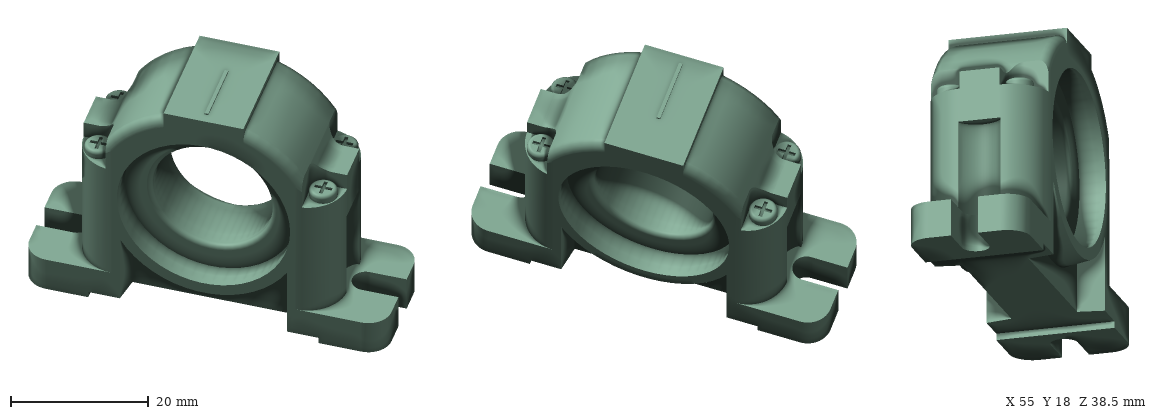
import cadquery as cq
import math

WIDTH = 18.0
OVERLAP = 0.5

FLANGE_LENGTH = 55.0
FLANGE_TOP = 5.6
FLANGE_CORNER_RADIUS = 3.5
RELIEF_LENGTH = 35.0
RELIEF_DEPTH = 1.0
SLOT_X = 21.9
SLOT_WIDTH = 4.1
GROOVE_RADIUS = 4.0
GROOVE_WIDTH = 6.45

AXIS_Z = 20.25
RING_RADIUS = 18.0
RING_FILLET = 1.5
BORE_RADIUS = 9.1
BORE_FILLET = 0.75
SEAT_RADIUS = 13.15
SEAT_DEPTH = 4.0
CAP_WIDTH = 12.1
CAP_TOP = AXIS_Z + RING_RADIUS
RIB_WIDTH = 0.55
RIB_LENGTH = 10.0
RIB_CENTER_Y = -2.5
RIB_HEIGHT = 0.25

SHOULDER_LENGTH = 40.0
SHOULDER_TOP = 28.0
SHOULDER_CORNER_RADIUS = 6.0
SHOULDER_FILLET = 2.5

SCREW_X = 17.05
SCREW_Y = 5.2
SCREW_SEAT_Z = 25.35
SCREW_POCKET_RADIUS = 2.15
HEAD_RADIUS = 2.1
HEAD_HEIGHT = 1.3
HEAD_FILLET = 0.55
CROSS_LENGTH = 2.65
CROSS_WIDTH = 0.55
CROSS_DEPTH = 0.5

POCKET_DEPTH = 4.0
POCKET_TAPER = 0.7
POCKET_HALF_WIDTH = 12.7
POCKET_ARC_RADIUS = 14.95

HALF_WIDTH = WIDTH / 2
SIDES = (-1, 1)


def box(length, width, z_low, z_high, x=0.0, y=0.0):
    """Upright box centred on (x, y) between two heights."""
    block = cq.Workplane("XY").box(length, width, z_high - z_low, centered=(True, True, False))
    return block.translate((x, y, z_low))


def disc(radius, width):
    """Disc on the bore axis, centred on the middle plane."""
    return cq.Workplane("XZ", origin=(0, width / 2, AXIS_Z)).circle(radius).extrude(width)


def post(radius, x, y, z_low, z_high):
    """Upright cylinder between two heights."""
    return cq.Workplane("XY", origin=(x, y, z_low)).circle(radius).extrude(z_high - z_low)


def flange():
    plate = box(FLANGE_LENGTH, WIDTH, 0, FLANGE_TOP).edges("|Z").fillet(FLANGE_CORNER_RADIUS)
    plate = plate.cut(box(RELIEF_LENGTH, WIDTH + OVERLAP, 0, RELIEF_DEPTH))
    run_out = FLANGE_LENGTH / 2 - SLOT_X + OVERLAP
    for side in SIDES:
        plate = plate.cut(post(SLOT_WIDTH / 2, side * SLOT_X, 0, 0, FLANGE_TOP))
        slot_x = side * (SLOT_X + run_out / 2)
        plate = plate.cut(box(run_out, SLOT_WIDTH, 0, FLANGE_TOP, slot_x))
    return plate


def shoulder_blend(side):
    """Web with a concave arc tangent to the shoulder top and to the ring."""
    center_z = SHOULDER_TOP + SHOULDER_FILLET
    center_radius = RING_RADIUS + SHOULDER_FILLET
    center_x = math.sqrt(center_radius**2 - (center_z - AXIS_Z) ** 2)
    ring_share = RING_RADIUS / center_radius
    ring_point = (side * center_x * ring_share, AXIS_Z + (center_z - AXIS_Z) * ring_share)
    ring_angle = math.pi + math.atan2(center_z - AXIS_Z, center_x)
    bottom_angle = 1.5 * math.pi
    mid_angle = (ring_angle + bottom_angle) / 2
    mid_x = center_x + SHOULDER_FILLET * math.cos(mid_angle)
    mid_z = center_z + SHOULDER_FILLET * math.sin(mid_angle)
    inner_x = side * CAP_WIDTH / 2
    inner_z = SHOULDER_TOP - OVERLAP
    blend = (
        cq.Workplane("XZ")
        .moveTo(inner_x, inner_z)
        .lineTo(side * center_x, inner_z)
        .lineTo(side * center_x, SHOULDER_TOP)
        .threePointArc((side * mid_x, mid_z), ring_point)
        .close()
    )
    return blend.extrude(SCREW_Y, both=True)


def bolt_groove(side):
    """Groove rounded about the slot end, with flat parallel sides."""
    slot_x = side * SLOT_X
    sides = box(2 * GROOVE_RADIUS, GROOVE_WIDTH, FLANGE_TOP, AXIS_Z, slot_x)
    return sides.intersect(post(GROOVE_RADIUS, slot_x, 0, FLANGE_TOP, AXIS_Z))


def housing():
    """Shoulders and ring above the flange, before holes and pockets."""
    plan = box(SHOULDER_LENGTH, WIDTH, FLANGE_TOP, CAP_TOP).edges("|Z").fillet(SHOULDER_CORNER_RADIUS)
    body = box(SHOULDER_LENGTH, WIDTH, FLANGE_TOP, SHOULDER_TOP)
    body = body.union(disc(RING_RADIUS, WIDTH).edges().fillet(RING_FILLET))
    for side in SIDES:
        body = body.union(shoulder_blend(side))
    body = body.intersect(plan)
    for side in SIDES:
        body = body.cut(bolt_groove(side))
    body = body.union(box(CAP_WIDTH, WIDTH, AXIS_Z, CAP_TOP))
    return body.union(box(RIB_WIDTH, RIB_LENGTH, CAP_TOP, CAP_TOP + RIB_HEIGHT, y=RIB_CENTER_Y))


def bore():
    """Filleted through bore with a bearing seat at each face."""
    web = WIDTH - 2 * SEAT_DEPTH
    sleeve = disc(SEAT_RADIUS, web).cut(disc(BORE_RADIUS, web))
    sleeve = sleeve.edges(cq.selectors.RadiusNthSelector(0)).fillet(BORE_FILLET)
    return disc(SEAT_RADIUS, WIDTH).cut(sleeve)


def pocket_profile(depth):
    """Pocket outline in the plane at a given depth, narrowing as it goes in."""
    taper = POCKET_TAPER * depth / POCKET_DEPTH
    half = POCKET_HALF_WIDTH - taper
    radius = POCKET_ARC_RADIUS + taper
    corner_z = AXIS_Z - math.sqrt(radius**2 - half**2)
    return (
        cq.Workplane("XZ", origin=(0, depth - HALF_WIDTH, 0))
        .moveTo(-half, 0)
        .lineTo(half, 0)
        .lineTo(half, corner_z)
        .threePointArc((0, AXIS_Z - radius), (-half, corner_z))
        .close()
        .wire()
        .val()
    )


def face_pocket():
    wires = [pocket_profile(0), pocket_profile(POCKET_DEPTH)]
    return cq.Workplane(cq.Solid.makeLoft(wires, True))


def screw_pocket(x_side, y_side):
    """Open corner pocket rounded about the screw axis."""
    x = x_side * SCREW_X
    y = y_side * SCREW_Y
    beyond_x = SHOULDER_LENGTH / 2 - SCREW_X
    beyond_y = HALF_WIDTH - SCREW_Y
    reach_x = beyond_x + SCREW_POCKET_RADIUS
    reach_y = beyond_y + SCREW_POCKET_RADIUS
    end_x = x_side * (SCREW_X + beyond_x / 2)
    end_y = y_side * (HALF_WIDTH - reach_y / 2)
    face_x = x_side * (SHOULDER_LENGTH / 2 - reach_x / 2)
    face_y = y_side * (HALF_WIDTH - beyond_y / 2)
    pocket = post(SCREW_POCKET_RADIUS, x, y, SCREW_SEAT_Z, CAP_TOP)
    pocket = pocket.union(box(beyond_x, reach_y, SCREW_SEAT_Z, CAP_TOP, end_x, end_y))
    return pocket.union(box(reach_x, beyond_y, SCREW_SEAT_Z, CAP_TOP, face_x, face_y))


def screw_head(x, y):
    """Rounded screw head with a cross recess."""
    top = SCREW_SEAT_Z + HEAD_HEIGHT
    head = post(HEAD_RADIUS, x, y, SCREW_SEAT_Z, top).faces(">Z").edges().fillet(HEAD_FILLET)
    head = head.cut(box(CROSS_LENGTH, CROSS_WIDTH, top - CROSS_DEPTH, top, x, y))
    return head.cut(box(CROSS_WIDTH, CROSS_LENGTH, top - CROSS_DEPTH, top, x, y))


result = flange().union(housing()).cut(bore())
pocket = face_pocket()
result = result.cut(pocket).cut(pocket.mirror("XZ"))
for x_side in SIDES:
    for y_side in SIDES:
        result = result.cut(screw_pocket(x_side, y_side))
        result = result.union(screw_head(x_side * SCREW_X, y_side * SCREW_Y))